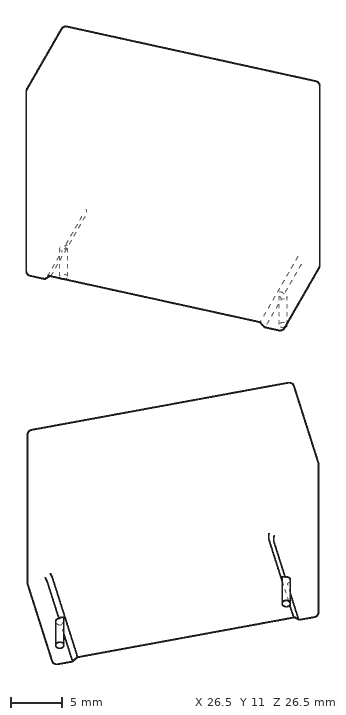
import cadquery as cq

total_height = 26.5
body_length = 26.5
body_width = 11.0
lead_length = 3.5
body_height = total_height - lead_length
edge_radius = 0.5

foot_length = 2.01
foot_height = 0.5

lead_diameter = 0.8
lead_pitch = 22.5
lead_embed = 2 * foot_height

half_length = body_length / 2
foot_inner_x = half_length - foot_length
recess_x = foot_inner_x - foot_height


def make_body():
    """Body profile with the recess between the feet, extruded across the width."""
    profile = (
        cq.Workplane("XZ")
        .moveTo(-half_length, 0)
        .lineTo(-foot_inner_x, 0)
        .lineTo(-recess_x, foot_height)
        .lineTo(recess_x, foot_height)
        .lineTo(foot_inner_x, 0)
        .lineTo(half_length, 0)
        .lineTo(half_length, body_height)
        .lineTo(-half_length, body_height)
        .close()
    )
    block = profile.extrude(body_width / 2, both=True)
    outlines = block.faces("<Y or >Y").edges()
    end_edges = block.faces("<X or >X").edges("|Y")
    return outlines.add(end_edges).fillet(edge_radius)


def make_leads():
    """Two round leads, one below each end of the body."""
    return (
        cq.Workplane("XY", origin=(0, 0, -lead_length))
        .pushPoints([(-lead_pitch / 2, 0), (lead_pitch / 2, 0)])
        .circle(lead_diameter / 2)
        .extrude(lead_length + lead_embed)
    )


result = make_body().union(make_leads())